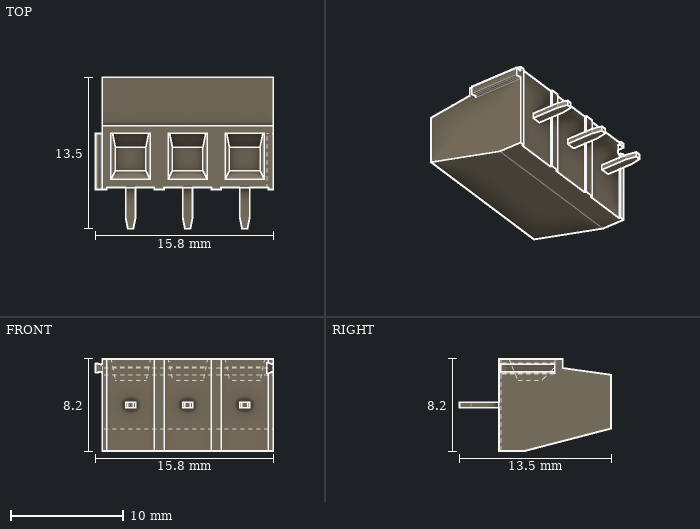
import cadquery as cq


pole_count = 3
pitch = 5.08
body_width = pole_count * pitch
body_left = -body_width / 2
body_right = body_width / 2
pole_centers = [body_left + (i + 0.5) * pitch for i in range(pole_count)]

body_depth = 10.0
body_height = 8.2
top_depth = 5.7
step_height = 0.8
roof_back_drop = 1.4
floor_depth = 2.3
floor_back_rise = 2.0

rib_width = 0.88
panel_depth = 0.17

pocket_width = 3.5
pocket_floor_width = 2.72
pocket_front = 0.9
pocket_back = 5.0
pocket_floor_front = 1.68
pocket_floor_back = 3.78
pocket_depth = 1.9
pocket_back_wall = 0.7

pin_width = 0.9
pin_tip_width = 0.5
pin_thickness = 0.5
pin_length = 3.5
pin_taper_length = 1.0
pin_height = body_height / 2

dovetail_height = body_height - 0.81
dovetail_length = pocket_back
dovetail_reach = 0.6
head_half_height = 0.47
neck_half_height = 0.3
groove_clearance = 0.06
dovetail_radius = 0.1
dovetail_root = 0.3


def make_body():
    """Body as a side profile extruded along X."""
    profile = [
        (0, 0),
        (floor_depth, 0),
        (body_depth, floor_back_rise),
        (body_depth, body_height - roof_back_drop),
        (top_depth, body_height - step_height),
        (top_depth, body_height),
        (0, body_height),
    ]
    outline = cq.Workplane("YZ", origin=(body_left, 0, 0)).polyline(profile).close()
    return outline.extrude(body_width)


def make_panel(center_x):
    """Shallow recess of the seating face between two ribs."""
    panel = cq.Workplane("XY").box(
        pitch - rib_width, panel_depth, body_height, centered=(True, False, False)
    )
    return panel.translate((center_x, 0, 0))


def make_pocket(center_x):
    """Pocket where a tapered X prism and a tapered Y prism overlap."""
    pocket_bottom = body_height - pocket_depth
    depth_profile = [
        (pocket_front, body_height),
        (pocket_floor_front, pocket_bottom),
        (pocket_floor_back, pocket_bottom),
        (pocket_back, body_height - pocket_back_wall),
        (pocket_back, body_height),
    ]
    width_profile = [
        (-pocket_width / 2, body_height),
        (-pocket_floor_width / 2, pocket_bottom),
        (pocket_floor_width / 2, pocket_bottom),
        (pocket_width / 2, body_height),
    ]
    along_x = cq.Workplane("YZ").polyline(depth_profile).close().extrude(pocket_width / 2, both=True)
    along_y = cq.Workplane("XZ").polyline(width_profile).close().extrude(-body_depth)
    return along_x.intersect(along_y).translate((center_x, 0, 0))


def make_pin(center_x):
    """Flat pin with a tapered tip, rising from the recessed panel."""
    half_width = pin_width / 2
    half_tip = pin_tip_width / 2
    taper_start = pin_taper_length - pin_length
    outline = [
        (-half_width, panel_depth),
        (-half_width, taper_start),
        (-half_tip, -pin_length),
        (half_tip, -pin_length),
        (half_width, taper_start),
        (half_width, panel_depth),
    ]
    plate = cq.Workplane("XY").polyline(outline).close().extrude(pin_thickness / 2, both=True)
    return plate.translate((center_x, 0, pin_height))


def make_dovetail(face_x, head_half):
    """Rounded dovetail bar reaching to -X from face_x, with a slab on the +X side of that face."""
    root_half = neck_half_height + 2 * dovetail_radius
    upper = [
        (-dovetail_reach, head_half),
        (0, neck_half_height),
        (0, root_half),
        (dovetail_root, root_half),
    ]
    lower = [(x, -z) for x, z in reversed(upper)]
    bar = cq.Workplane("XZ").polyline(upper + lower).close().extrude(-dovetail_length)
    head_edges = bar.edges("|Y and <X")
    neck_corners = cq.selectors.BoxSelector(
        (-dovetail_radius, 0, -neck_half_height - dovetail_radius),
        (dovetail_radius, dovetail_length, neck_half_height + dovetail_radius),
    )
    neck_edges = bar.edges("|Y").edges(neck_corners)
    bar = bar.newObject(head_edges.vals() + neck_edges.vals()).fillet(dovetail_radius)
    return bar.translate((face_x, 0, dovetail_height))


result = make_body()
for center in pole_centers:
    result = result.cut(make_panel(center))
    result = result.cut(make_pocket(center))
    result = result.union(make_pin(center))
result = result.cut(make_dovetail(body_right, head_half_height + groove_clearance))
result = result.union(make_dovetail(body_left, head_half_height))